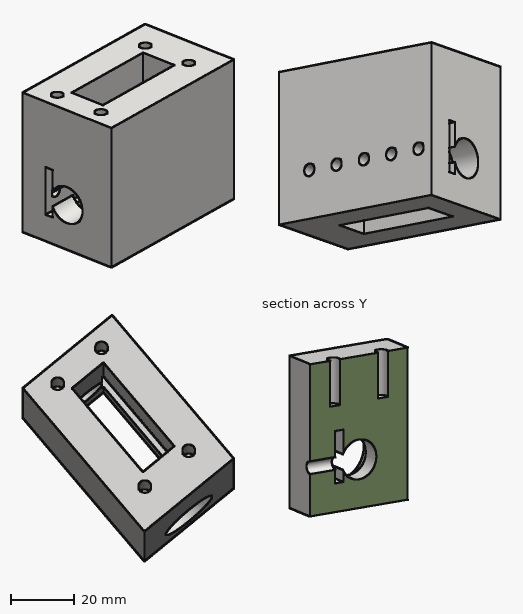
import cadquery as cq

width = 36.7
length = 60.0
height = 50.0
front_y = -length / 2
back_y = length / 2

window_width = 12.9
window_length = 35.0
window_y = -2.5

bore_z = 16.0
bore_diameter = window_width

counterbore_diameter = 19.0
counterbore_depth = 6.0
counterbore_floor_y = back_y - counterbore_depth

slot_left = -8.8
slot_width = 2.9
slot_bottom = bore_z - bore_diameter / 2
slot_height = 17.0
slot_length = counterbore_floor_y - front_y

screw_diameter = 4.0
screw_depth = 15.0
screw_spacing_x = 18.0
screw_spacing_y = 43.0

pin_count = 5
pin_diameter = 4.0
pin_pitch = 10.75
first_pin_from_front = 5.05


def cylinder_y(diameter, start_y, end_y):
    """Cylinder along +Y on the bore axis."""
    plane = cq.Plane(origin=(0, start_y, bore_z), xDir=(1, 0, 0), normal=(0, 1, 0))
    return cq.Workplane(plane).circle(diameter / 2).extrude(end_y - start_y)


def side_slot():
    return (
        cq.Workplane("XY")
        .box(slot_width, slot_length, slot_height, centered=False)
        .translate((slot_left, front_y, slot_bottom))
    )


def window():
    return (
        cq.Workplane("XY")
        .center(0, window_y)
        .rect(window_width, window_length)
        .extrude(height)
    )


def screw_holes():
    return (
        cq.Workplane("XY", origin=(0, window_y, height))
        .rarray(screw_spacing_x, screw_spacing_y, 2, 2)
        .circle(screw_diameter / 2)
        .extrude(-screw_depth)
    )


def pin_holes():
    first_pin_y = front_y + first_pin_from_front
    positions = [(first_pin_y + i * pin_pitch, bore_z) for i in range(pin_count)]
    return (
        cq.Workplane("YZ", origin=(-width / 2, 0, 0))
        .pushPoints(positions)
        .circle(pin_diameter / 2)
        .extrude(width / 2)
    )


block = cq.Workplane("XY").box(width, length, height, centered=(True, True, False))
result = (
    block.cut(cylinder_y(bore_diameter, front_y, back_y))
    .cut(cylinder_y(counterbore_diameter, counterbore_floor_y, back_y))
    .cut(side_slot())
    .cut(window())
    .cut(screw_holes())
    .cut(pin_holes())
)